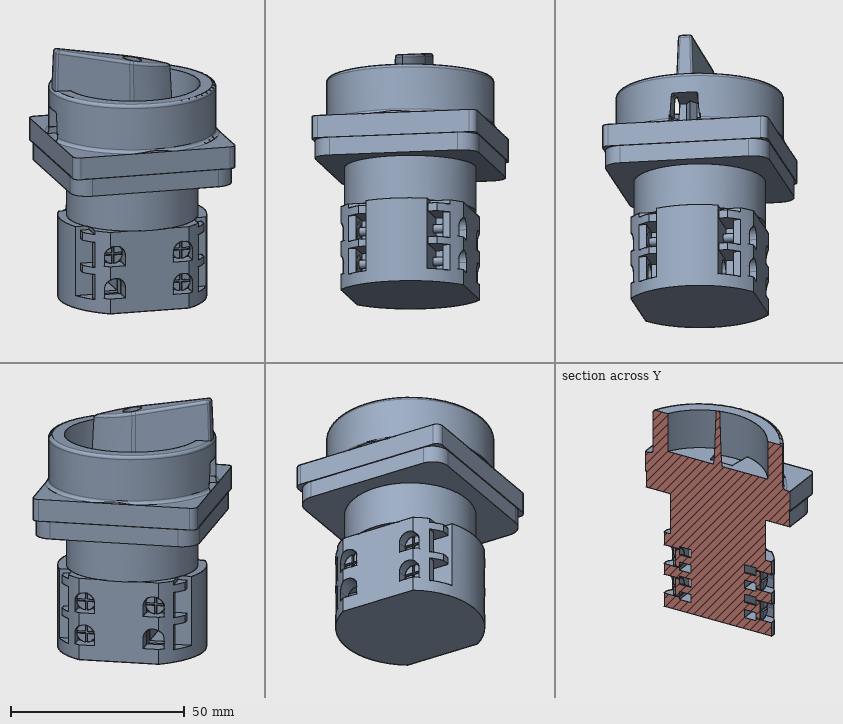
import cadquery as cq
import math

BLOCK_TOP = 24.3
DRUM_TOP = 37.2
SKIRT_TOP = 42.4
PLATE_TOP = 48.9
DISC_TOP = 50.9
RING_TOP = 63.2
OVERALL_HEIGHT = 74.98

BLOCK_RADIUS = 21.5
BLOCK_WIDTH = 36.0
STAGE_PITCH = 9.6

WINDOW_INNER_X = 9.0
WINDOW_OUTER_X = 14.9
WINDOW_STEP_X = 12.75
WINDOW_BOTTOM = 3.75
WINDOW_BACK_Y = math.sqrt(BLOCK_RADIUS**2 - WINDOW_OUTER_X**2)
WINDOW_DEEP_Y = 7.0
SHELF_FRONT_Y = 18.15
SHELF_BOTTOM = 11.2
LOWER_SHELF_THICKNESS = 2.1
UPPER_SHELF_THICKNESS = 2.35

TERMINAL_Y = 10.17
TERMINAL_RADIUS = 3.0
LOWER_TERMINAL_Z = 7.45
TERMINAL_DEPTH = 5.0
SCREW_HEAD_RADIUS = 2.9
SCREW_HEAD_HEIGHT = 2.0
SCREW_SHANK_RADIUS = 1.25
SCREW_SLOT_WIDTH = 0.7
SCREW_SLOT_DEPTH = 0.8

DRUM_RADIUS = 19.0
SKIRT_WIDTH = 48.1
SKIRT_CORNER = 5.2
PLATE_WIDTH = 48.5
PLATE_CORNER = 1.95

RING_RADIUS = 24.1
RING_BORE_RADIUS = 19.55
RING_ROUND = 1.0
RING_FLARE = 1.0
FLARE_SETBACK = 0.05

GATE_FOOT_HALF_WIDTH = 4.55
GATE_HALF_WIDTH = 4.4
GATE_TOP_HALF_WIDTH = 3.85
GATE_INNER_HALF_WIDTH = 3.85
GATE_INNER_TOP_HALF_WIDTH = 3.65
GATE_TOP = 57.3
GATE_ROUND = 0.7
GATE_OVERRUN = 0.7

MARK_OUTER_HALF_WIDTH = 4.8
MARK_INNER_HALF_WIDTH = 3.65
MARK_INNER_Y = 12.1
DISC_SLOT_HALF_WIDTH = 3.0
LOCK_BACK_Y = -12.5

HANDLE_HALF_WIDTH = 4.8
HANDLE_NOSE_Y = 12.2
HANDLE_TAIL_Y = -24.0
HANDLE_TAIL_HALF_WIDTH = 2.7
FLANK_CORNER_Y = -1.4
FLANK_TANGENT = 0.6
HANDLE_DRAFT = 2.0
HANDLE_SLOPE = 11.2
HANDLE_PEAK_Y = -22.22
HANDLE_ROUND = 0.9
TAIL_CORNER_ROUND = 0.6
HANDLE_HOLE_RADIUS = 2.63
LATCH_HALF_WIDTH = 1.55
LATCH_LENGTH = 2.6


def box(x0, x1, y0, y1, z0, z1):
    """Axis-aligned box between two corners."""
    return cq.Workplane("XY").box(x1 - x0, y1 - y0, z1 - z0, centered=False).translate((x0, y0, z0))


def cylinder(radius, z0, z1):
    return cq.Workplane("XY").workplane(offset=z0).circle(radius).extrude(z1 - z0)


def rounded_square(width, corner, z0, z1):
    plate = cq.Workplane("XY").workplane(offset=z0).rect(width, width).extrude(z1 - z0)
    return plate.edges("|Z").fillet(corner)


def both_flanks(shape):
    """A shape at -X, -Y copied to all four quadrants."""
    pair = shape.union(shape.mirror("YZ"))
    return pair.union(pair.mirror("XZ"))


def window():
    """Stepped window in the -X, -Y quadrant, with its two shelves left standing."""
    shallow = box(-WINDOW_OUTER_X, -WINDOW_INNER_X, -BLOCK_RADIUS, -WINDOW_BACK_Y, WINDOW_BOTTOM, BLOCK_TOP)
    deep_top = SHELF_BOTTOM + STAGE_PITCH
    deep = box(-WINDOW_STEP_X, -WINDOW_INNER_X, -BLOCK_RADIUS, -WINDOW_DEEP_Y, WINDOW_BOTTOM, deep_top)
    opening = shallow.union(deep)
    shelf_thicknesses = (LOWER_SHELF_THICKNESS, UPPER_SHELF_THICKNESS)
    for stage, thickness in enumerate(shelf_thicknesses):
        bottom = SHELF_BOTTOM + stage * STAGE_PITCH
        opening = opening.cut(
            box(-WINDOW_OUTER_X, -WINDOW_INNER_X, -SHELF_FRONT_Y, 0, bottom, bottom + thickness)
        )
    return opening


def terminal_opening(y, z, depth):
    """Arched opening sunk into the -X face of the block."""
    arch = (
        cq.Workplane("YZ", origin=(-BLOCK_WIDTH / 2, y, z))
        .moveTo(-TERMINAL_RADIUS, 0)
        .threePointArc((0, TERMINAL_RADIUS), (TERMINAL_RADIUS, 0))
        .lineTo(TERMINAL_RADIUS, -TERMINAL_RADIUS)
        .lineTo(-TERMINAL_RADIUS, -TERMINAL_RADIUS)
        .close()
    )
    return arch.extrude(depth)


def screw_head(y, z):
    """Cross-slotted head standing on the floor of a -X terminal opening."""
    face_x = -BLOCK_WIDTH / 2 + TERMINAL_DEPTH - SCREW_HEAD_HEIGHT
    face = cq.Workplane("YZ", origin=(face_x, y, z))
    head = face.circle(SCREW_HEAD_RADIUS).extrude(SCREW_HEAD_HEIGHT)
    slot_length = 2 * SCREW_HEAD_RADIUS
    upright_slot = face.rect(SCREW_SLOT_WIDTH, slot_length).extrude(SCREW_SLOT_DEPTH)
    level_slot = face.rect(slot_length, SCREW_SLOT_WIDTH).extrude(SCREW_SLOT_DEPTH)
    return head.cut(upright_slot).cut(level_slot)


def screw_shank(y, z):
    """Shank bridging both windows, from terminal floor to terminal floor."""
    half = BLOCK_WIDTH / 2 - TERMINAL_DEPTH
    return cq.Workplane("YZ", origin=(-half, y, z)).circle(SCREW_SHANK_RADIUS).extrude(2 * half)


def contact_block():
    half = BLOCK_WIDTH / 2
    block = cylinder(BLOCK_RADIUS, 0, BLOCK_TOP)
    block = block.intersect(box(-half, half, -BLOCK_RADIUS, BLOCK_RADIUS, 0, BLOCK_TOP))
    block = block.cut(both_flanks(window()))
    for y in (-TERMINAL_Y, TERMINAL_Y):
        for z in (LOWER_TERMINAL_Z, LOWER_TERMINAL_Z + STAGE_PITCH):
            if y < 0 and z == LOWER_TERMINAL_Z:
                block = block.cut(terminal_opening(y, z, BLOCK_WIDTH))
                continue
            opening = terminal_opening(y, z, TERMINAL_DEPTH)
            head = screw_head(y, z)
            block = block.cut(opening).cut(opening.mirror("YZ"))
            block = block.union(head).union(head.mirror("YZ")).union(screw_shank(y, z))
    return block


def ring():
    """Turned ring with a rounded rim and a concave foot flare trimmed just inside the plate sides."""
    round_offset = RING_ROUND * (1 - math.sqrt(0.5))
    flare_offset = RING_FLARE * (1 - math.sqrt(0.5))
    body = (
        cq.Workplane("XZ")
        .moveTo(RING_BORE_RADIUS, PLATE_TOP)
        .lineTo(RING_RADIUS + RING_FLARE, PLATE_TOP)
        .threePointArc(
            (RING_RADIUS + flare_offset, PLATE_TOP + flare_offset),
            (RING_RADIUS, PLATE_TOP + RING_FLARE),
        )
        .lineTo(RING_RADIUS, RING_TOP - RING_ROUND)
        .threePointArc(
            (RING_RADIUS - round_offset, RING_TOP - round_offset),
            (RING_RADIUS - RING_ROUND, RING_TOP),
        )
        .lineTo(RING_BORE_RADIUS, RING_TOP)
        .close()
        .revolve(360, (0, 0, 0), (0, 1, 0))
    )
    half = PLATE_WIDTH / 2 - FLARE_SETBACK
    return body.intersect(box(-half, half, -half, half, PLATE_TOP, RING_TOP)).cut(ring_gate())


def gate_profile(half_width, top_half_width):
    """Round-topped trapezoid from the disc surface up to the gate ceiling."""
    return (
        cq.Sketch()
        .polygon([
            (-half_width, DISC_TOP),
            (half_width, DISC_TOP),
            (top_half_width, GATE_TOP),
            (-top_half_width, GATE_TOP),
            (-half_width, DISC_TOP),
        ])
        .vertices(">Y")
        .fillet(GATE_ROUND)
    )


def ring_gate():
    """Opening through the -Y wall of the ring: straight below, narrowing inwards above the disc."""
    outer_y = RING_RADIUS + RING_FLARE
    inner_y = RING_BORE_RADIUS - GATE_OVERRUN
    outer = gate_profile(GATE_HALF_WIDTH, GATE_TOP_HALF_WIDTH)
    inner = gate_profile(GATE_INNER_HALF_WIDTH, GATE_INNER_TOP_HALF_WIDTH)
    inner = inner.moved(cq.Location(cq.Vector(0, 0, inner_y - outer_y)))
    upper = cq.Workplane("XZ", origin=(0, -outer_y, 0)).placeSketch(outer, inner).loft()
    lower = box(-GATE_FOOT_HALF_WIDTH, GATE_FOOT_HALF_WIDTH, -outer_y, -inner_y, PLATE_TOP, DISC_TOP)
    return upper.union(lower)


def indicator_disc():
    """Disc inside the ring with a tapered recess at +Y and a lock slot at -Y."""
    disc = cylinder(RING_BORE_RADIUS, PLATE_TOP, DISC_TOP)
    mark = (
        cq.Workplane("XY", origin=(0, 0, PLATE_TOP))
        .polyline([
            (-MARK_OUTER_HALF_WIDTH, RING_BORE_RADIUS),
            (MARK_OUTER_HALF_WIDTH, RING_BORE_RADIUS),
            (MARK_INNER_HALF_WIDTH, MARK_INNER_Y),
            (-MARK_INNER_HALF_WIDTH, MARK_INNER_Y),
        ])
        .close()
        .extrude(DISC_TOP - PLATE_TOP)
    )
    slot = box(
        -DISC_SLOT_HALF_WIDTH, DISC_SLOT_HALF_WIDTH, -RING_BORE_RADIUS, LOCK_BACK_Y, PLATE_TOP, DISC_TOP
    )
    return disc.cut(mark).cut(slot)


def nose_arc_middle():
    """Point halfway along the nose arc, which is parallel to Y where it meets the flank bend."""
    length = HANDLE_NOSE_Y - FLANK_CORNER_Y - FLANK_TANGENT
    radius = (length**2 + HANDLE_HALF_WIDTH**2) / (2 * HANDLE_HALF_WIDTH)
    half_angle = math.asin(length / radius) / 2
    x = HANDLE_HALF_WIDTH - radius * (1 - math.cos(half_angle))
    return x, HANDLE_NOSE_Y - length + radius * math.sin(half_angle)


def flank_bend():
    """Start, middle and end of the arc turning from the nose into the straight flank."""
    angle = math.atan2(HANDLE_HALF_WIDTH - HANDLE_TAIL_HALF_WIDTH, FLANK_CORNER_Y - HANDLE_TAIL_Y)
    radius = FLANK_TANGENT / math.tan(angle / 2)
    start_y = FLANK_CORNER_Y + FLANK_TANGENT
    return [
        (HANDLE_HALF_WIDTH - radius * (1 - math.cos(turn)), start_y - radius * math.sin(turn))
        for turn in (0, angle / 2, angle)
    ]


def mirrored(point):
    """The same plan point on the -X side."""
    return -point[0], point[1]


def handle():
    """Teardrop handle with drafted sides and a sloping, rounded top."""
    nose_middle = nose_arc_middle()
    bend_start, bend_middle, bend_end = flank_bend()
    rise = math.tan(math.radians(HANDLE_SLOPE))
    nose_top = OVERALL_HEIGHT - rise * (HANDLE_NOSE_Y - HANDLE_PEAK_Y)
    tail_top = OVERALL_HEIGHT + rise * (HANDLE_PEAK_Y - HANDLE_TAIL_Y)
    body = (
        cq.Workplane("XY", origin=(0, 0, DISC_TOP))
        .moveTo(0, HANDLE_NOSE_Y)
        .threePointArc(nose_middle, bend_start)
        .threePointArc(bend_middle, bend_end)
        .lineTo(HANDLE_TAIL_HALF_WIDTH, HANDLE_TAIL_Y)
        .lineTo(-HANDLE_TAIL_HALF_WIDTH, HANDLE_TAIL_Y)
        .lineTo(*mirrored(bend_end))
        .threePointArc(mirrored(bend_middle), mirrored(bend_start))
        .threePointArc(mirrored(nose_middle), (0, HANDLE_NOSE_Y))
        .close()
        .extrude(tail_top - DISC_TOP, taper=HANDLE_DRAFT)
    )
    envelope = (
        cq.Workplane("YZ", origin=(-HANDLE_HALF_WIDTH, 0, 0))
        .polyline([
            (HANDLE_NOSE_Y, DISC_TOP),
            (HANDLE_NOSE_Y, nose_top),
            (HANDLE_TAIL_Y, tail_top),
            (HANDLE_TAIL_Y, DISC_TOP),
        ])
        .close()
        .extrude(2 * HANDLE_HALF_WIDTH)
    )
    body = body.intersect(envelope)
    body = body.faces("<Y").edges("not #Z").fillet(TAIL_CORNER_ROUND)
    body = body.faces(">Z").edges().fillet(HANDLE_ROUND)
    hole = cylinder(HANDLE_HOLE_RADIUS, DISC_TOP, OVERALL_HEIGHT)
    lock_space = box(
        -HANDLE_HALF_WIDTH, HANDLE_HALF_WIDTH, HANDLE_TAIL_Y, LOCK_BACK_Y, DISC_TOP, GATE_TOP
    )
    return body.cut(hole).cut(lock_space)


def latch():
    """Wedge standing in the lock space, its edge pointing to -Y."""
    return (
        cq.Workplane("XY", origin=(0, 0, PLATE_TOP))
        .polyline([
            (-LATCH_HALF_WIDTH, LOCK_BACK_Y),
            (LATCH_HALF_WIDTH, LOCK_BACK_Y),
            (0, LOCK_BACK_Y - LATCH_LENGTH),
        ])
        .close()
        .extrude(GATE_TOP - PLATE_TOP)
    )


result = (
    contact_block()
    .union(cylinder(DRUM_RADIUS, BLOCK_TOP, DRUM_TOP))
    .union(rounded_square(SKIRT_WIDTH, SKIRT_CORNER, DRUM_TOP, SKIRT_TOP))
    .union(rounded_square(PLATE_WIDTH, PLATE_CORNER, SKIRT_TOP, PLATE_TOP))
    .union(ring())
    .union(indicator_disc())
    .union(handle())
    .union(latch())
)